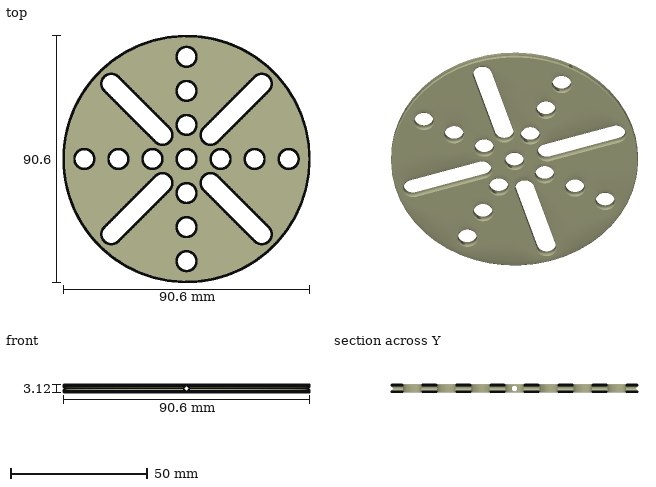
import cadquery as cq
import math

disc_diameter = 90.62
disc_thickness = 3.12
disc_radius = disc_diameter / 2
half_thickness = disc_thickness / 2
edge_chamfer = 0.3

groove_depth = 0.78
cutter_overshoot = 1.0

hole_diameter = 7.0
hole_pitch = 12.5
holes_per_arm = 3

slot_width = hole_diameter
slot_inner_radius = hole_pitch
slot_outer_radius = disc_radius - hole_pitch / 2
slot_angles = (45, 135, 225, 315)

drilling_diameter = 2.0
drilling_seam_angle = 90


def make_disc():
    """Plain disc centred on the origin."""
    return cq.Workplane("XY").circle(disc_radius).extrude(half_thickness, both=True)


def cross_points():
    """Centres of the round holes: the middle one and the four arms."""
    points = [(0, 0)]
    for step in range(1, holes_per_arm + 1):
        distance = step * hole_pitch
        points += [(distance, 0), (-distance, 0), (0, distance), (0, -distance)]
    return points


def make_holes():
    """Cutters for the cross of round holes."""
    return (
        cq.Workplane("XY")
        .pushPoints(cross_points())
        .circle(hole_diameter / 2)
        .extrude(half_thickness, both=True)
    )


def make_slot(angle):
    """Cutter for one round-ended slot lying along the given direction."""
    mid_radius = (slot_inner_radius + slot_outer_radius) / 2
    slot_length = slot_outer_radius - slot_inner_radius + slot_width
    mid_x = mid_radius * math.cos(math.radians(angle))
    mid_y = mid_radius * math.sin(math.radians(angle))
    return (
        cq.Workplane("XY")
        .center(mid_x, mid_y)
        .slot2D(slot_length, slot_width, angle)
        .extrude(half_thickness, both=True)
    )


def make_rim_groove():
    """Ring cutter with a triangular section, pointing inward at mid thickness."""
    cutter_depth = groove_depth + cutter_overshoot
    outer_radius = disc_radius + cutter_overshoot
    return (
        cq.Workplane("XZ")
        .moveTo(disc_radius - groove_depth, 0)
        .lineTo(outer_radius, cutter_depth)
        .lineTo(outer_radius, -cutter_depth)
        .close()
        .revolve(360, (0, 0, 0), (0, 1, 0))
    )


def make_drilling(plane):
    """Cutter for one drilling through the disc, normal to the given plane.

    Its seam is turned to the top, clear of the groove root at mid thickness.
    """
    axis = cq.Plane.named(plane).zDir.toTuple()
    return (
        cq.Workplane(plane)
        .circle(drilling_diameter / 2)
        .extrude(disc_diameter, both=True)
        .rotate((0, 0, 0), axis, drilling_seam_angle)
    )


result = make_disc().cut(make_holes())
for slot_angle in slot_angles:
    result = result.cut(make_slot(slot_angle))

result = result.faces("|Z").edges().chamfer(edge_chamfer)

result = result.cut(make_rim_groove())
for drilling_plane in ("XZ", "YZ"):
    result = result.cut(make_drilling(drilling_plane))